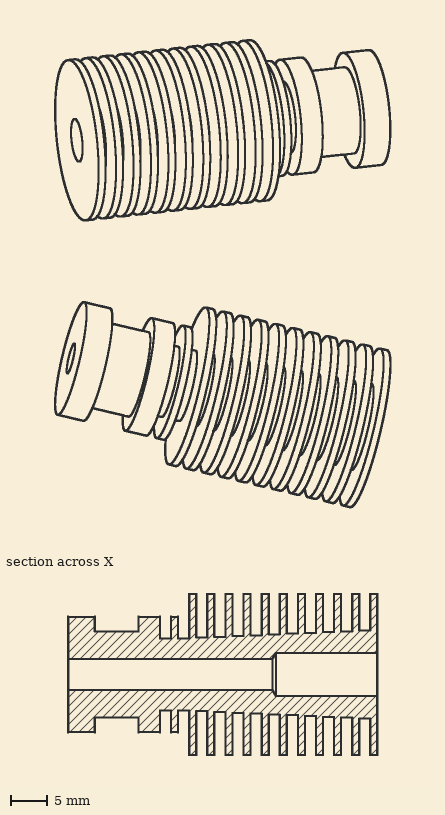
import cadquery as cq
import math

fin_thickness = 1.0
fin_gap = 1.5
fin_pitch = fin_thickness + fin_gap
large_fin_count = 11
lower_collar_length = 3.0
mount_groove_length = 6.0
upper_collar_length = 3.7

large_fin_diameter = 22.3
collar_diameter = 16.0
mount_groove_diameter = 12.0
neck_diameter = 10.0
core_step_increase = 0.221

bore_diameter = 4.2
socket_diameter = 5.92
socket_depth = 14.0
drill_point_angle = 118.0

small_fin_start = large_fin_count * fin_pitch
lower_collar_start = small_fin_start + fin_pitch
mount_groove_start = lower_collar_start + lower_collar_length
upper_collar_start = mount_groove_start + mount_groove_length
total_length = upper_collar_start + upper_collar_length


def disc(diameter, start, length):
    """Cylinder on the Y axis, running from start towards +Y."""
    plane = cq.Workplane("XZ", origin=(0, start, 0))
    return plane.circle(diameter / 2).extrude(-length)


def make_core():
    """Straight neck below the collar, then one wider core step in each gap towards the fin end."""
    core = disc(neck_diameter, 0, lower_collar_start)
    for gap_index in range(large_fin_count - 1):
        steps_from_neck = large_fin_count - 1 - gap_index
        step_diameter = neck_diameter + steps_from_neck * core_step_increase
        core = core.union(disc(step_diameter, gap_index * fin_pitch + fin_thickness, fin_gap))
    return core


def make_mount():
    """Two collars with the mounting groove between them."""
    lower_collar = disc(collar_diameter, lower_collar_start, lower_collar_length)
    groove_core = disc(mount_groove_diameter, mount_groove_start, mount_groove_length)
    upper_collar = disc(collar_diameter, upper_collar_start, upper_collar_length)
    return lower_collar.union(groove_core).union(upper_collar)


def make_bore():
    """Through bore with a wider socket at the fin end, ending in a drill-point cone."""
    bore_radius = bore_diameter / 2
    socket_radius = socket_diameter / 2
    cone_length = (socket_radius - bore_radius) / math.tan(math.radians(drill_point_angle / 2))
    profile = [
        (0, 0),
        (socket_radius, 0),
        (socket_radius, socket_depth),
        (bore_radius, socket_depth + cone_length),
        (bore_radius, total_length),
        (0, total_length),
    ]
    section = cq.Workplane("XY").polyline(profile).close()
    return section.revolve(360, (0, 0, 0), (0, 1, 0))


def make_fins():
    """Row of large cooling fins, with one collar-sized fin between them and the mount."""
    fins = disc(collar_diameter, small_fin_start, fin_thickness)
    for fin_index in range(large_fin_count):
        fins = fins.union(disc(large_fin_diameter, fin_index * fin_pitch, fin_thickness))
    return fins


result = make_core().union(make_fins()).union(make_mount()).cut(make_bore())